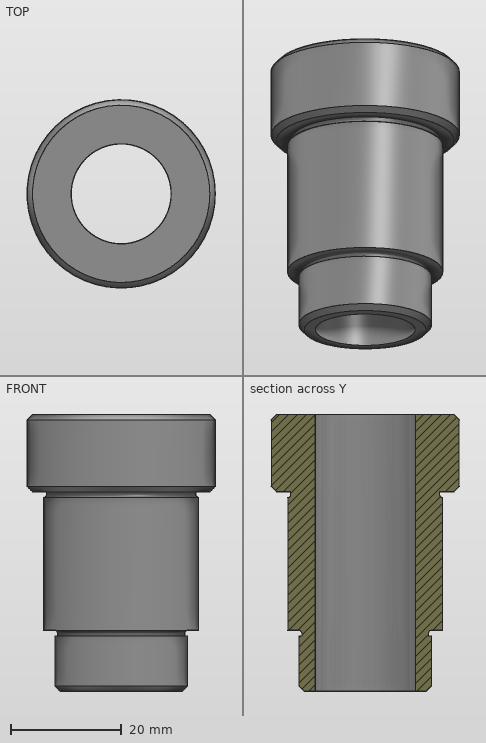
import cadquery as cq
import math

total_length = 50
head_length = 14
tail_length = 11
groove_width = 1

head_diameter = 34
body_diameter = 28
tail_diameter = 24
bore_diameter = 18

edge_chamfer = 1
groove_depth = 0.5

head_bottom = total_length - head_length
body_length = head_bottom - tail_length


def cylinder(diameter, bottom, length):
    """Solid cylinder on the Z axis."""
    return cq.Workplane("XY", origin=(0, 0, bottom)).circle(diameter / 2).extrude(length)


def relief_groove(shaft_diameter, square_end, rounded_end):
    """Ring to cut from a shaft: one end is square, the other curves out from the groove floor."""
    outer = shaft_diameter / 2
    floor = outer - groove_depth
    toward_square = math.copysign(groove_depth, square_end - rounded_end)
    arc_offset = groove_depth * (1 - math.sqrt(0.5))
    return (
        cq.Workplane("XZ")
        .moveTo(outer, square_end)
        .lineTo(floor, square_end)
        .lineTo(floor, rounded_end + toward_square)
        .threePointArc(
            (floor + arc_offset, rounded_end + math.copysign(arc_offset, toward_square)),
            (outer, rounded_end),
        )
        .close()
        .revolve(360, (0, 0, 0), (0, 1, 0))
    )


head = cylinder(head_diameter, head_bottom, head_length).edges().chamfer(edge_chamfer)
body = cylinder(body_diameter, tail_length, body_length)
body = body.cut(relief_groove(body_diameter, head_bottom, head_bottom - groove_width))
tail = cylinder(tail_diameter, 0, tail_length).faces("<Z").edges().chamfer(edge_chamfer)
tail = tail.cut(relief_groove(tail_diameter, tail_length - groove_width, tail_length))

bore = cylinder(bore_diameter, 0, total_length)
result = tail.union(body).union(head).cut(bore)